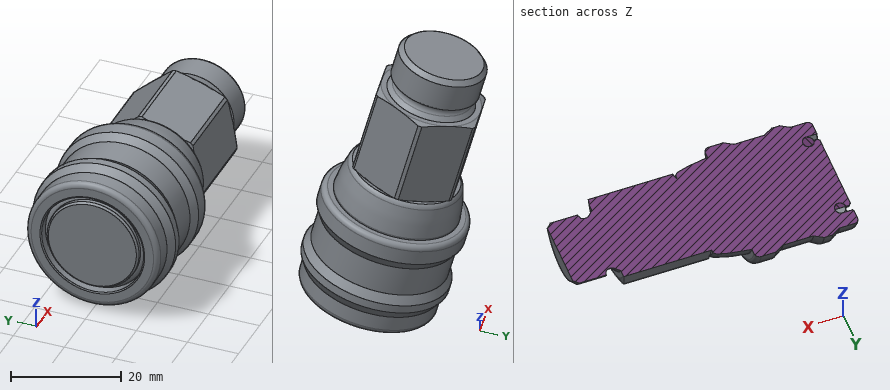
import cadquery as cq
import math


sleeve_diameter = 26.0
rib_diameter = 28.0
rib_rise = (rib_diameter - sleeve_diameter) / 2
rib_ramp = rib_rise * math.sqrt(3)
front_rib_start = 3.95
front_rib_crest = 1.6
rear_rib_start = 14.9
sleeve_length = 20.5
edge_round = 1.0

taper_front_diameter = 23.8
taper_start = 20.8
taper_rear_diameter = 21.7
taper_bulge = 0.15
taper_round_start = 26.55
taper_end = 27.4
taper_end_diameter = 20.4

hex_flats = 18.9
hex_corner_diameter = 21.4
hex_end = 44.45
hex_tilt = 11.0
hex_chamfer_angle = 15.0

spigot_diameter = 16.65
undercut_arc_diameter = 15.1
undercut_diameter = 14.55
undercut_arc_start = 45.3
undercut_arc_end = 46.9
spigot_start = 47.2
total_length = 53.4
spigot_chamfer_length = 0.95
spigot_chamfer_depth = 0.85

mouth_diameter = 20.0
mouth_chamfer_depth = 0.25
mouth_chamfer_length = 0.15
plug_diameter = 18.0
plug_chamfer = 0.4

wire_radius = (mouth_diameter - plug_diameter) / 2
ring_radius = plug_diameter / 2
ring_depth = 2.15
ring_gap_angle = 6.1
ring_gap_position = 21.8


def turned(profile):
    """Revolve a closed outline of (X, radius) about the X axis."""
    return profile.close().revolve(360, (0, 0, 0), (1, 0, 0))


def make_sleeve():
    sleeve_radius = sleeve_diameter / 2
    rib_radius = rib_diameter / 2
    crest_start = front_rib_start + rib_ramp
    crest_end = crest_start + front_rib_crest
    round_middle = edge_round * (1 - math.sqrt(0.5))
    return turned(
        cq.Workplane("XY")
        .lineTo(0, sleeve_radius - edge_round)
        .threePointArc((round_middle, sleeve_radius - round_middle), (edge_round, sleeve_radius))
        .lineTo(front_rib_start, sleeve_radius)
        .lineTo(crest_start, rib_radius)
        .lineTo(crest_end, rib_radius)
        .lineTo(crest_end + rib_ramp, sleeve_radius)
        .lineTo(rear_rib_start, sleeve_radius)
        .lineTo(rear_rib_start + rib_ramp, rib_radius)
        .lineTo(sleeve_length - edge_round, rib_radius)
        .threePointArc(
            (sleeve_length - round_middle, rib_radius - round_middle),
            (sleeve_length, rib_radius - edge_round),
        )
        .lineTo(sleeve_length, 0)
    )


def make_taper():
    front_radius = taper_front_diameter / 2
    rear_radius = taper_rear_diameter / 2
    middle = ((taper_start + taper_round_start) / 2, (front_radius + rear_radius) / 2 + taper_bulge)
    end_radius = taper_end_diameter / 2
    return turned(
        cq.Workplane("XY")
        .moveTo(sleeve_length, 0)
        .lineTo(sleeve_length, front_radius)
        .lineTo(taper_start, front_radius)
        .threePointArc(middle, (taper_round_start, rear_radius))
        .tangentArcPoint((taper_end, end_radius), relative=False)
        .lineTo(taper_end, 0)
    )


def make_hexagon():
    length = hex_end - taper_end
    corner_radius = hex_corner_diameter / 2
    flat_radius = hex_flats / 2
    chamfer_length = (corner_radius - flat_radius) * math.tan(math.radians(hex_chamfer_angle))
    prism = (
        cq.Workplane("YZ", origin=(taper_end, 0, 0))
        .polygon(6, hex_flats, circumscribed=True)
        .extrude(length)
        .rotate((0, 0, 0), (1, 0, 0), -hex_tilt)
    )
    envelope = turned(
        cq.Workplane("XY")
        .moveTo(taper_end, 0)
        .lineTo(taper_end, flat_radius)
        .lineTo(taper_end + chamfer_length, corner_radius)
        .lineTo(hex_end - chamfer_length, corner_radius)
        .lineTo(hex_end, flat_radius)
        .lineTo(hex_end, 0)
    )
    return prism.intersect(envelope)


def make_spigot():
    spigot_radius = spigot_diameter / 2
    return turned(
        cq.Workplane("XY")
        .moveTo(hex_end, 0)
        .lineTo(hex_end, spigot_radius)
        .lineTo(undercut_arc_start, undercut_arc_diameter / 2)
        .threePointArc(
            ((undercut_arc_start + undercut_arc_end) / 2, undercut_diameter / 2),
            (undercut_arc_end, undercut_arc_diameter / 2),
        )
        .lineTo(spigot_start, spigot_radius)
        .lineTo(total_length - spigot_chamfer_length, spigot_radius)
        .lineTo(total_length, spigot_radius - spigot_chamfer_depth)
        .lineTo(total_length, 0)
    )


def make_mouth_cutter():
    """Ring-shaped space between the sleeve and the plug, with a conical seat behind the ring."""
    plug_radius = plug_diameter / 2
    mouth_radius = mouth_diameter / 2
    seat_end = ring_depth + mouth_radius - plug_radius
    return turned(
        cq.Workplane("XY")
        .moveTo(0, plug_radius - plug_chamfer)
        .lineTo(plug_chamfer, plug_radius)
        .lineTo(seat_end, plug_radius)
        .lineTo(ring_depth, mouth_radius)
        .lineTo(mouth_chamfer_length, mouth_radius)
        .lineTo(0, mouth_radius + mouth_chamfer_depth)
    )


def make_wire_loop(gap_angle):
    """Round wire bent about the X axis, leaving a gap; an angle of zero closes the loop."""
    return (
        cq.Workplane("XY")
        .center(ring_depth, ring_radius)
        .circle(wire_radius)
        .revolve(360 - gap_angle, (0, -ring_radius, 0), (1, -ring_radius, 0))
        .rotate((0, 0, 0), (1, 0, 0), gap_angle / 2 - ring_gap_position)
    )


def make_coupling():
    outside = make_sleeve().union(make_taper()).union(make_hexagon()).union(make_spigot())
    return outside.cut(make_mouth_cutter()).cut(make_wire_loop(0))


def make_ring():
    return make_wire_loop(ring_gap_angle)


coupling = make_coupling()
ring = make_ring()
result = cq.Compound.makeCompound([coupling.solids().val(), ring.val()])